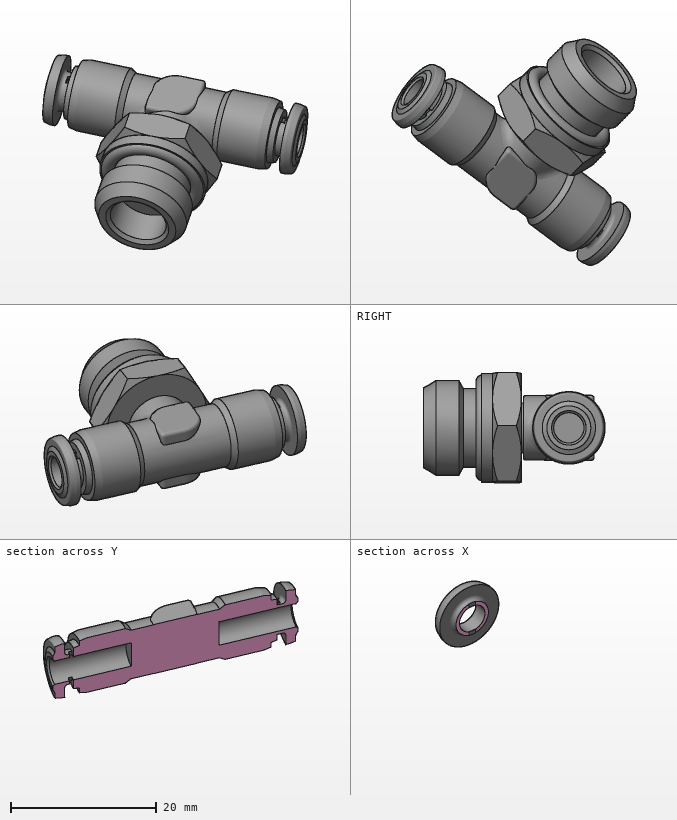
import cadquery as cq

half_length = 18.0
tube_radius = 4.45
socket_radius = 5.0
socket_start = 6.48
socket_cone_end = 7.3
socket_taper_start = 12.95
socket_end = 14.08
socket_end_radius = 4.75
cap_root_radius = 3.92
cap_end = 14.95
cap_end_radius = 3.7

sleeve_radius = 2.75
flange_start = 16.2
flange_step = 16.78
flange_end = 17.68
flange_radius = 4.95
flange_end_radius = 4.75
flange_edge_radius = 0.18
flange_edge_start = flange_end - flange_edge_radius
sleeve_flare = 0.5
nose_root_radius = 3.67
nose_end_radius = 3.02
tube_bore_radius = 2.1
bore_chamfer = 0.3
tube_bore_depth = half_length - socket_start
slot_width = 1.08
slot_end = 15.48
right_slot_angle = 18.0

branch_end = 6.25
branch_edge_radius = 0.32
branch_blend = 1.35
swivel_radius = 3.45

pad_half_width = 3.5
pad_height = 4.5
pad_edge_radius = 0.45
pad_corner_radius = 0.55

hex_start = 6.55
hex_end = 10.5
hex_corner_radius = 8.65
hex_face_radius = 7.5
hex_chamfer_length = 0.7
hex_turn = 2.0

collar_end = 12.05
collar_radius = 7.52
neck_radius = 5.45
thread_start = 14.55
thread_full = 15.15
thread_taper_start = 18.3
stud_end = 20.05
thread_radius = 6.55
stud_end_radius = 5.5
stud_bore_radius = 4.0
stud_bore_chamfer = 0.5
stud_bore_depth = 5.0

ring_section = 0.95
ring_radius = neck_radius + ring_section
ring_center = 11.88


def revolve_x(points):
    return cq.Workplane("XY").polyline(points).close().revolve(360, (0, 0), (1, 0))


def revolve_y(points):
    return cq.Workplane("XY").polyline(points).close().revolve(360, (0, 0), (0, 1))


def tube_with_branch():
    tube = cq.Workplane("YZ").circle(tube_radius).extrude(socket_start, both=True)
    branch = cq.Workplane("XZ").circle(tube_radius).extrude(branch_end)
    branch = branch.faces("<Y").edges().fillet(branch_edge_radius)
    return tube.union(branch).edges("%ELLIPSE").fillet(branch_blend)


def socket():
    """Socket and cap ring on the +X side."""
    return revolve_x([
        (0, 0),
        (0, tube_radius),
        (socket_start, tube_radius),
        (socket_cone_end, socket_radius),
        (socket_taper_start, socket_radius),
        (socket_end, socket_end_radius),
        (socket_end, cap_root_radius),
        (cap_end, cap_end_radius),
        (cap_end, 0),
    ])


def collet():
    """Release collet on the +X side."""
    profile = (
        cq.Workplane("XY")
        .moveTo(socket_end, 0)
        .lineTo(socket_end, sleeve_radius)
        .lineTo(flange_start - sleeve_flare, sleeve_radius)
        .radiusArc((flange_start, sleeve_radius + sleeve_flare), -sleeve_flare)
        .lineTo(flange_start, flange_radius)
        .lineTo(flange_step, flange_radius)
        .lineTo(flange_edge_start, flange_end_radius)
        .radiusArc((flange_end, flange_end_radius - flange_edge_radius), flange_edge_radius)
        .lineTo(flange_end, nose_root_radius)
        .lineTo(half_length, nose_end_radius)
        .lineTo(half_length, 0)
        .close()
    )
    return profile.revolve(360, (0, 0), (1, 0))


def tube_bore():
    """Blind tube bore with a chamfered mouth on the +X side."""
    return revolve_x([
        (half_length - tube_bore_depth, 0),
        (half_length - tube_bore_depth, tube_bore_radius),
        (half_length - bore_chamfer, tube_bore_radius),
        (half_length, tube_bore_radius + bore_chamfer),
        (half_length, 0),
    ])


def collet_slot(angle):
    """Slot across the whole sleeve on the +X side, turned about the tube axis."""
    slot = cq.Workplane("XY").box(slot_end - cap_end, slot_width, 2 * cap_end_radius)
    slot = slot.translate(((cap_end + slot_end) / 2, 0, 0))
    return slot.rotate((0, 0, 0), (1, 0, 0), angle)


def push_in_end(slot_angle):
    """Everything outside the plain tube on the +X side, shared by both ends through mirroring."""
    return socket().union(collet()).cut(tube_bore()).cut(collet_slot(slot_angle))


def pads():
    """Square pads through both faces, with two opposite corners rounded to a full quarter circle."""
    leaf = cq.Workplane("XY").circle(pad_half_width).extrude(pad_height, both=True)
    for side in (1, -1):
        middle = side * pad_half_width / 2
        corner = cq.Workplane("XY").center(middle, middle).rect(pad_half_width, pad_half_width)
        leaf = leaf.union(corner.extrude(pad_height, both=True))
    leaf = leaf.edges("|Z").edges(">(1, 1, 0) or <(1, 1, 0)").fillet(pad_corner_radius)
    return leaf.faces("|Z").edges().fillet(pad_edge_radius)


def hexagon():
    """Hexagon with both faces chamfered by a turned envelope."""
    length = hex_end - hex_start
    prism = cq.Workplane("XZ", origin=(0, -hex_start, 0)).polygon(6, 2 * hex_corner_radius).extrude(length)
    prism = prism.rotate((0, 0, 0), (0, 1, 0), -hex_turn)
    envelope = revolve_y([
        (0, -hex_start),
        (hex_face_radius, -hex_start),
        (hex_corner_radius, -hex_start - hex_chamfer_length),
        (hex_corner_radius, -hex_end + hex_chamfer_length),
        (hex_face_radius, -hex_end),
        (0, -hex_end),
    ])
    return prism.intersect(envelope)


def stud():
    """Swivel neck, collar, undercut and thread envelope."""
    return revolve_y([
        (0, 0),
        (swivel_radius, 0),
        (swivel_radius, -hex_end),
        (collar_radius, -hex_end),
        (collar_radius, -collar_end),
        (neck_radius, -collar_end),
        (neck_radius, -thread_start),
        (thread_radius, -thread_full),
        (thread_radius, -thread_taper_start),
        (stud_end_radius, -stud_end),
        (0, -stud_end),
    ])


def sealing_ring():
    section = cq.Workplane("XY").center(ring_radius, -ring_center).circle(ring_section)
    return section.revolve(360, (-ring_radius, 0), (-ring_radius, 1))


def stud_bore():
    """Blind bore with a chamfered mouth."""
    return revolve_y([
        (0, -stud_end),
        (stud_bore_radius + stud_bore_chamfer, -stud_end),
        (stud_bore_radius, -stud_end + stud_bore_chamfer),
        (stud_bore_radius, -stud_end + stud_bore_depth),
        (0, -stud_end + stud_bore_depth),
    ])


left_end = push_in_end(0).mirror("YZ")
right_end = push_in_end(-right_slot_angle)
threaded_end = stud().union(hexagon()).union(sealing_ring()).cut(stud_bore())

result = tube_with_branch().union(pads()).union(threaded_end).union(left_end).union(right_end)